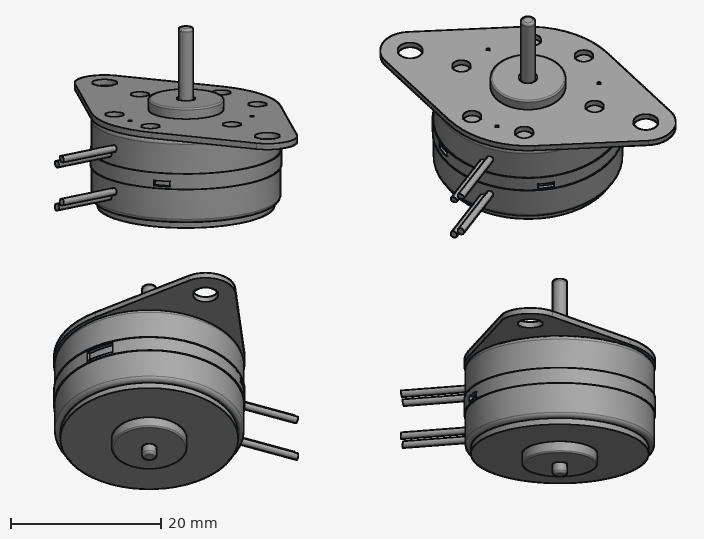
import cadquery as cq
import math


plate_thickness = 0.8
plate_radius = 12.7
ear_radius = 4.0
plate_length = 42.8
ear_offset = plate_length / 2 - ear_radius
mount_hole_diameter = 3.35
rivet_hole_diameter = 2.5
rivet_circle_radius = 9.85
rivet_angles = (0, 67, 113, 180, 247, 293)
pin_hole_diameter = 0.45
pin_circle_radius = 9.45
pin_angles = (30, 150, 270)

case_radius = 12.6
case_height = 11.5
case_fillet = 0.6
joint_z = -case_height / 2
rim_radius = plate_radius
rim_height = 2.15
base_radius = 11.8
base_thickness = 0.85

notch_height = 0.73
notch_depth = 0.5
upper_notch = (228, 238)
lower_notch = (302, 312)
double_notch = (114, 132)

boss_radius = 5.0
boss_height = 1.5
boss_fillet = 0.2
bore_mouth_radius = 1.25
bore_mouth_depth = 0.25
shaft_radius = 1.0
shaft_length = 27.45
shaft_overhang = 1.45
shaft_fillet = 0.4

wire_radius = 0.45
wire_end_y = -21.55
wire_spacing_x = 1.03
wire_spacing_z = 0.9
wire_end_slant = 0.13
wire_root_y = -10.7
upper_wires_z = -2.83
lower_wires_z = -8.75

upper_boss_top = plate_thickness + boss_height
base_bottom = -case_height - base_thickness
lower_boss_bottom = base_bottom - boss_height
shaft_bottom = lower_boss_bottom - shaft_overhang


def disc(radius, bottom, height):
    return cq.Workplane("XY").workplane(offset=bottom).circle(radius).extrude(height)


def polar_points(radius, angles):
    return [
        (radius * math.cos(math.radians(angle)), radius * math.sin(math.radians(angle)))
        for angle in angles
    ]


def mounting_plate():
    slope = math.asin((plate_radius - ear_radius) / ear_offset)
    middle_x = plate_radius * math.sin(slope)
    middle_y = plate_radius * math.cos(slope)
    ear_x = ear_offset + ear_radius * math.sin(slope)
    ear_y = ear_radius * math.cos(slope)
    ear_tip = ear_offset + ear_radius
    plate = (
        cq.Workplane("XY")
        .moveTo(middle_x, middle_y)
        .lineTo(ear_x, ear_y)
        .threePointArc((ear_tip, 0), (ear_x, -ear_y))
        .lineTo(middle_x, -middle_y)
        .threePointArc((0, -plate_radius), (-middle_x, -middle_y))
        .lineTo(-ear_x, -ear_y)
        .threePointArc((-ear_tip, 0), (-ear_x, ear_y))
        .lineTo(-middle_x, middle_y)
        .threePointArc((0, plate_radius), (middle_x, middle_y))
        .close()
        .extrude(plate_thickness)
    )
    hole_patterns = (
        (mount_hole_diameter, ear_offset, (0, 180)),
        (rivet_hole_diameter, rivet_circle_radius, rivet_angles),
        (pin_hole_diameter, pin_circle_radius, pin_angles),
    )
    for diameter, radius, angles in hole_patterns:
        centers = polar_points(radius, angles)
        plate = plate.faces(">Z").workplane(origin=(0, 0, 0)).pushPoints(centers).hole(diameter)
    return plate


def notch(angles, bottom, height):
    start_angle, end_angle = angles
    inner = rim_radius - notch_depth
    outer = rim_radius + notch_depth
    middle_angle = (start_angle + end_angle) / 2
    inner_points = polar_points(inner, (start_angle, middle_angle, end_angle))
    outer_points = polar_points(outer, (start_angle, middle_angle, end_angle))
    return (
        cq.Workplane("XY")
        .workplane(offset=bottom)
        .moveTo(*inner_points[0])
        .threePointArc(inner_points[1], inner_points[2])
        .lineTo(*outer_points[2])
        .threePointArc(outer_points[1], outer_points[0])
        .close()
        .extrude(height)
    )


def case():
    body = disc(case_radius, -case_height, case_height).edges().fillet(case_fillet)
    body = body.union(disc(rim_radius, joint_z - rim_height / 2, rim_height))
    body = body.union(disc(base_radius, base_bottom, base_thickness))
    body = body.cut(notch(upper_notch, joint_z, notch_height))
    body = body.cut(notch(lower_notch, joint_z - notch_height, notch_height))
    return body.cut(notch(double_notch, joint_z - notch_height, 2 * notch_height))


def bosses():
    upper = disc(boss_radius, plate_thickness, boss_height).faces(">Z").edges().fillet(boss_fillet)
    mouth = (
        cq.Workplane("XZ")
        .moveTo(0, upper_boss_top)
        .lineTo(bore_mouth_radius, upper_boss_top)
        .lineTo(shaft_radius, upper_boss_top - bore_mouth_depth)
        .lineTo(0, upper_boss_top - bore_mouth_depth)
        .close()
        .revolve(360, (0, 0), (0, 1))
    )
    lower = disc(boss_radius, lower_boss_bottom, boss_height).faces("<Z").edges().fillet(boss_fillet)
    return upper.cut(mouth).union(lower)


def shaft():
    return disc(shaft_radius, shaft_bottom, shaft_length).edges().fillet(shaft_fillet)


def wire(x, z, long_side):
    body = (
        cq.Workplane("XZ", origin=(x, wire_root_y, z))
        .circle(wire_radius)
        .extrude(wire_root_y - wire_end_y)
    )
    offcut = (
        cq.Workplane("YZ", origin=(x, wire_end_y, z))
        .moveTo(0, long_side * wire_radius)
        .lineTo(wire_end_slant, -long_side * wire_radius)
        .lineTo(0, -long_side * wire_radius)
        .close()
        .extrude(wire_radius, both=True)
    )
    return body.cut(offcut)


def wire_pair(middle_z, long_side):
    half_x = wire_spacing_x / 2
    half_z = wire_spacing_z / 2
    left = wire(-half_x, middle_z - half_z, long_side)
    right = wire(half_x, middle_z + half_z, long_side)
    return left.union(right)


result = (
    case()
    .union(mounting_plate())
    .union(bosses())
    .union(shaft())
    .union(wire_pair(upper_wires_z, 1))
    .union(wire_pair(lower_wires_z, -1))
)